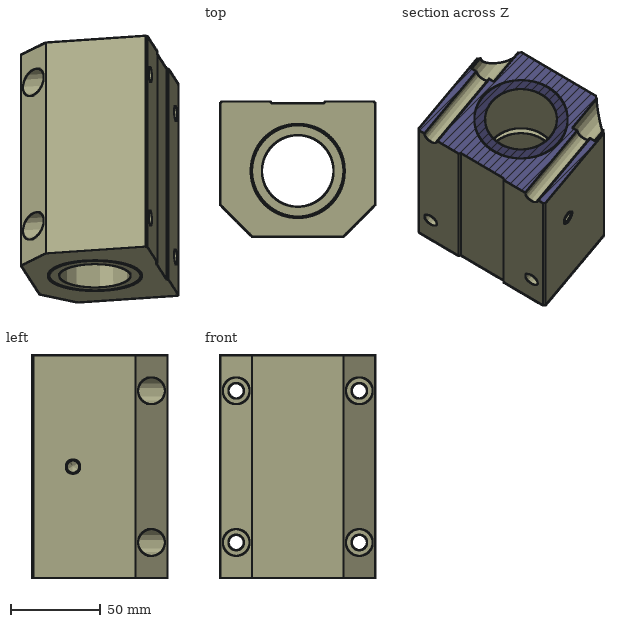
import cadquery as cq
import math

WIDTH = 87.0
HEIGHT = 76.0
LENGTH = 125.0
FRONT_CHAMFER = 18.0
BACK_CHAMFER = 1.0
AXIS_TO_BACK = 39.0

RELIEF_WIDTH = 29.0
RELIEF_DEPTH = 1.0

SHAFT_DIAMETER = 40.0
BUSHING_DIAMETER = 52.0
BUSHING_LENGTH = 60.0
MOUTH_CHAMFER = 0.4
BUSHING_CHAMFER = 0.4

HOLE_PITCH_X = 69.0
HOLE_PITCH_Z = 85.0
SCREW_DIAMETER = 8.5
HEAD_DIAMETER = 15.0
HEAD_DEPTH = 25.0

GREASE_DIAMETER = 7.0
GREASE_MOUTH_DIAMETER = 8.0
GREASE_DEPTH = 10.0
GREASE_TIP_ANGLE = 118.0
GREASE_OFFSET_Y = 16.0

half_width = WIDTH / 2
back_y = AXIS_TO_BACK
front_y = back_y - HEIGHT


def make_block():
    """Block with two large front chamfers and a relieved mounting face, bushing axis on Z."""
    relief_half = RELIEF_WIDTH / 2
    relief_y = back_y - RELIEF_DEPTH
    right_half = [
        (half_width - FRONT_CHAMFER, front_y),
        (half_width, front_y + FRONT_CHAMFER),
        (half_width, back_y - BACK_CHAMFER),
        (half_width - BACK_CHAMFER, back_y),
        (relief_half + RELIEF_DEPTH, back_y),
        (relief_half, relief_y),
    ]
    left_half = [(-x, y) for x, y in reversed(right_half)]
    return cq.Workplane("XY").polyline(right_half + left_half).close().extrude(LENGTH)


def cut_bore(block):
    """Through bore for the bushings, chamfered outwards at both mouths."""
    bore_radius = BUSHING_DIAMETER / 2
    mouth_radius = bore_radius + MOUTH_CHAMFER
    outline = [
        (0, 0),
        (mouth_radius, 0),
        (bore_radius, MOUTH_CHAMFER),
        (bore_radius, LENGTH - MOUTH_CHAMFER),
        (mouth_radius, LENGTH),
        (0, LENGTH),
    ]
    bore = cq.Workplane("XZ").polyline(outline).close().revolve(360, (0, 0), (0, 1))
    return block.cut(bore)


def cut_mounting_holes(block):
    """Four screw holes along Y with deep counterbores opening through the front chamfers."""
    pattern = (
        cq.Workplane("XZ", origin=(0, front_y, LENGTH / 2))
        .rarray(HOLE_PITCH_X, HOLE_PITCH_Z, 2, 2)
    )
    screws = pattern.circle(SCREW_DIAMETER / 2).extrude(-HEIGHT)
    heads = pattern.circle(HEAD_DIAMETER / 2).extrude(-HEAD_DEPTH)
    return block.cut(screws).cut(heads)


def cut_grease_hole(block):
    """Blind hole with a drilled tip and a countersunk mouth, at mid length."""
    radius = GREASE_DIAMETER / 2
    mouth_radius = GREASE_MOUTH_DIAMETER / 2
    tip = radius / math.tan(math.radians(GREASE_TIP_ANGLE / 2))
    outline = [
        (0, 0),
        (0, mouth_radius),
        (mouth_radius - radius, radius),
        (GREASE_DEPTH, radius),
        (GREASE_DEPTH + tip, 0),
    ]
    drill = (
        cq.Workplane("XY", origin=(-half_width, GREASE_OFFSET_Y, LENGTH / 2))
        .polyline(outline).close()
        .revolve(360, (0, 0), (1, 0))
    )
    return block.cut(drill)


def make_bushing(start_z):
    """Plain sleeve standing on start_z, with its outer end edges chamfered."""
    sleeve = (
        cq.Workplane("XY", origin=(0, 0, start_z))
        .circle(BUSHING_DIAMETER / 2)
        .extrude(BUSHING_LENGTH)
        .faces("<Z or >Z")
        .chamfer(BUSHING_CHAMFER)
    )
    shaft_hole = (
        cq.Workplane("XY", origin=(0, 0, start_z))
        .circle(SHAFT_DIAMETER / 2)
        .extrude(BUSHING_LENGTH)
    )
    return sleeve.cut(shaft_hole)


housing = cut_grease_hole(cut_mounting_holes(cut_bore(make_block())))
bushings = [make_bushing(start_z) for start_z in (0, LENGTH - BUSHING_LENGTH)]

result = cq.Compound.makeCompound([housing.val(), *[bushing.val() for bushing in bushings]])